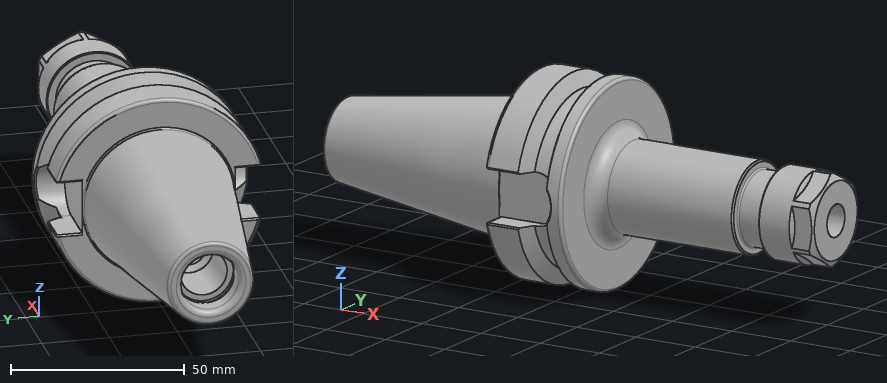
import cadquery as cq
import math

gauge_x = 65.5
flange_start = 66.0
front_land_end = 77.1
groove_start = 79.8
groove_end = 84.6
rear_land_start = 87.3
flange_end = 92.2
shank_end = 139.7
nut_start = 148.3
hex_start = 158.8
overall_length = 165.9

gauge_diameter = 44.5
taper_ratio = 7 / 24
small_end_diameter = gauge_diameter - taper_ratio * gauge_x
small_end_round = 1.0
flange_diameter = 63.0
flange_round = 1.0
groove_diameter = 53.8
shank_diameter = 28.0
shank_chamfer = 0.5
flange_fillet = 5.0
corner_fillet = 0.5
nose_diameter = 22.7

slot_width = 16.1
slot_floor = 22.5
slot_tip_x = 88.6
slot_chamfer = 0.5

mouth_diameter = 17.0
mouth_depth = 7.0
relief_diameter = 17.5
relief_end = 9.0
mouth_round = 1.8
thread_diameter = 13.8
thread_depth = 26.5
through_diameter = 9.8
drill_half_angle = 60.0

nut_diameter = 28.0
nut_chamfer = 0.3
across_flats = 25.0
end_face_diameter = 23.5
end_chamfer_length = 1.3
hex_runout = 1.0


def revolve_profile(points):
    """Revolve a closed (x, radius) outline about the X axis."""
    return cq.Workplane("XY").polyline(points).close().revolve(360, (0, 0, 0), (1, 0, 0))


def x_cylinder(start, end, diameter):
    """Solid cylinder on the X axis between two stations."""
    return cq.Workplane("YZ", origin=(start, 0, 0)).circle(diameter / 2).extrude(end - start)


def taper_cone():
    """Taper with a rounded small end and a short cylinder up to the flange."""
    cone = revolve_profile([
        (0, 0),
        (0, small_end_diameter / 2),
        (gauge_x, gauge_diameter / 2),
        (flange_start, gauge_diameter / 2),
        (flange_start, 0),
    ])
    return cone.faces("<X").edges().fillet(small_end_round)


def flange():
    """Flange with a trapezoidal groove, rounded at its two outer edges."""
    rim = flange_diameter / 2
    groove = groove_diameter / 2
    disc = revolve_profile([
        (flange_start, 0),
        (flange_start, rim),
        (front_land_end, rim),
        (groove_start, groove),
        (groove_end, groove),
        (rear_land_start, rim),
        (flange_end, rim),
        (flange_end, 0),
    ])
    return disc.faces("<X or >X").edges().fillet(flange_round)


def root_fillet(face_x, direction, diameter, fillet):
    """Ring that fills the inside corner between a face at face_x and a smaller cylinder.

    The ring lies on the +X side (direction = 1) or the -X side (direction = -1) of the face.
    """
    radius = diameter / 2
    arc_shift = fillet * (1 - math.sqrt(0.5))
    return (
        cq.Workplane("XY")
        .moveTo(face_x, 0)
        .lineTo(face_x, radius + fillet)
        .threePointArc(
            (face_x + direction * arc_shift, radius + arc_shift),
            (face_x + direction * fillet, radius),
        )
        .lineTo(face_x + direction * fillet, 0)
        .close()
        .revolve(360, (0, 0, 0), (1, 0, 0))
    )


def shank():
    """Plain cylinder with a chamfered front edge."""
    cylinder = x_cylinder(flange_end, shank_end, shank_diameter)
    return cylinder.faces(">X").chamfer(shank_chamfer)


def drive_slot(side):
    """Round-ended slot through the flange on the +Y (side = 1) or -Y (side = -1) edge."""
    slot_radius = slot_width / 2
    center_x = slot_tip_x - slot_radius
    outline = (
        cq.Workplane("XZ", origin=(0, side * slot_floor, 0))
        .moveTo(gauge_x, -slot_radius)
        .lineTo(center_x, -slot_radius)
        .threePointArc((slot_tip_x, 0), (center_x, slot_radius))
        .lineTo(gauge_x, slot_radius)
        .close()
    )
    return outline.extrude(-side * flange_diameter / 2)


def holder_bore():
    """Rounded mouth, threaded bore with a drill-point cone, and the through bore."""
    mouth = mouth_diameter / 2
    relief = relief_diameter / 2
    thread = thread_diameter / 2
    through = through_diameter / 2
    cone_end = thread_depth + (thread - through) / math.tan(math.radians(drill_half_angle))
    arc_shift = mouth_round * (1 - math.sqrt(0.5))
    return (
        cq.Workplane("XY")
        .moveTo(0, 0)
        .lineTo(0, mouth + mouth_round)
        .threePointArc((arc_shift, mouth + arc_shift), (mouth_round, mouth))
        .lineTo(mouth_depth, mouth)
        .lineTo(mouth_depth, relief)
        .lineTo(relief_end, relief)
        .lineTo(relief_end, thread)
        .lineTo(thread_depth, thread)
        .lineTo(cone_end, through)
        .lineTo(hex_start, through)
        .lineTo(hex_start, 0)
        .close()
        .revolve(360, (0, 0, 0), (1, 0, 0))
    )


def is_slot_land_edge(edge):
    """True for the edges where a slot wall meets one of the two outer lands."""
    center = edge.Center()
    box = edge.BoundingBox()
    off_axis = math.hypot(center.y, center.z) > flange_diameter / 2 - flange_round
    within_slot = max(abs(box.zmin), abs(box.zmax)) < slot_width / 2 + slot_chamfer
    front_land_limit = front_land_end + slot_chamfer
    on_front_land = flange_start + flange_round / 2 < box.xmin and box.xmax < front_land_limit
    on_rear_land = rear_land_start - slot_chamfer < box.xmin
    return off_axis and within_slot and (on_front_land or on_rear_land)


def make_holder():
    """Taper, flange, shank and nose in one solid, with drive slots and bore."""
    nose = x_cylinder(shank_end, hex_start, nose_diameter)
    body = taper_cone().union(flange()).union(shank()).union(nose)
    body = body.union(root_fillet(flange_start, -1, gauge_diameter, corner_fillet))
    body = body.union(root_fillet(flange_end, 1, shank_diameter, flange_fillet))
    body = body.union(root_fillet(shank_end, 1, nose_diameter, corner_fillet))
    for side in (1, -1):
        body = body.cut(drive_slot(side))
    land_edges = [edge for edge in body.edges().vals() if is_slot_land_edge(edge)]
    body = body.newObject(land_edges).chamfer(slot_chamfer)
    return body.cut(holder_bore())


def hex_envelope():
    """Hexagonal bar with flats facing +Y and -Y, widened by a cone at its rear end."""
    corner_diameter = across_flats / math.cos(math.pi / 6)
    bar = (
        cq.Workplane("YZ", origin=(nut_start, 0, 0))
        .polygon(6, corner_diameter)
        .extrude(overall_length - nut_start)
        .rotate((0, 0, 0), (1, 0, 0), 90)
    )
    rim = nut_diameter / 2
    flat = across_flats / 2
    rear = revolve_profile([
        (nut_start, 0),
        (nut_start, rim),
        (hex_start, rim),
        (hex_start + hex_runout, flat),
        (hex_start + hex_runout, 0),
    ])
    return bar.union(rear)


def make_nut():
    """Cap nut with six wrench flats that fits over the nose of the holder."""
    rim = nut_diameter / 2
    body = revolve_profile([
        (nut_start, 0),
        (nut_start, rim - nut_chamfer),
        (nut_start + nut_chamfer, rim),
        (overall_length - end_chamfer_length, rim),
        (overall_length, end_face_diameter / 2),
        (overall_length, 0),
    ])
    body = body.intersect(hex_envelope())
    body = body.cut(x_cylinder(nut_start, hex_start, nose_diameter))
    return body.cut(x_cylinder(hex_start, overall_length, through_diameter))


holder = make_holder()
nut = make_nut()
result = cq.Compound.makeCompound([holder.val(), nut.val()])